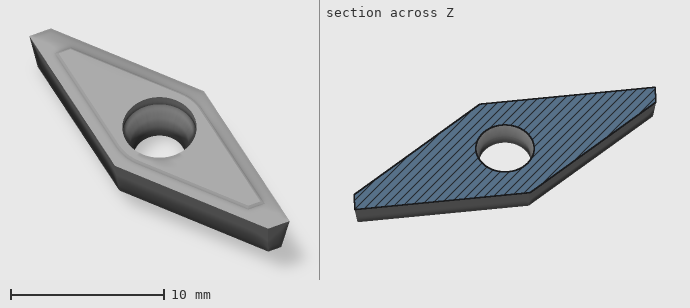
import cadquery as cq
import math

LENGTH = 21.85
HALF_WIDTH = 3.97
POINT_ANGLE = 35.0
TIP_FLAT_END_X = 9.94
HEIGHT = 3.32
PLATEAU_HEIGHT = 0.13
RELIEF_ANGLE = 7.0
CORNER_RADIUS = 0.17

PLATEAU_HALF_WIDTH = 3.19
PLATEAU_TIP_DISTANCE = 8.25
PLATEAU_BEVEL = 0.2

HOLE_DIAMETER = 3.4
SEAT_DIAMETER = 4.85
SEAT_WALL_DEPTH = 0.8
SEAT_CURVE_DEPTH = 1.83

body_height = HEIGHT - PLATEAU_HEIGHT
side_angle = math.radians(POINT_ANGLE)
side_normal = (math.sin(side_angle), math.cos(side_angle))
tip_corner_x = LENGTH / 2
tip_corner_y = (HALF_WIDTH - tip_corner_x * side_normal[0]) / side_normal[1]
tip_flat_angle = math.atan2(tip_corner_y + HALF_WIDTH, tip_corner_x - TIP_FLAT_END_X)
tip_normal = (math.sin(tip_flat_angle), -math.cos(tip_flat_angle))
body_tip_distance = tip_corner_x * tip_normal[0] + tip_corner_y * tip_normal[1]


def line_crossing(normal_a, distance_a, normal_b, distance_b):
    """Point where two lines, given by unit normal and distance from the centre, meet."""
    determinant = normal_a[0] * normal_b[1] - normal_a[1] * normal_b[0]
    x = (distance_a * normal_b[1] - distance_b * normal_a[1]) / determinant
    y = (normal_a[0] * distance_b - normal_b[0] * distance_a) / determinant
    return x, y


def truncated_rhombus(half_width, tip_distance, z):
    """Closed rhombus with flattened points, symmetric under a half turn about Z."""
    straight_normal = (0, 1)
    opposite_normal = (0, -1)
    half_outline = [
        line_crossing(straight_normal, half_width, side_normal, half_width),
        line_crossing(side_normal, half_width, tip_normal, tip_distance),
        line_crossing(tip_normal, tip_distance, opposite_normal, half_width),
    ]
    other_half = [(-x, -y) for x, y in half_outline]
    return cq.Workplane("XY", origin=(0, 0, z)).polyline(half_outline + other_half).close()


def tapered_prism(half_width, tip_distance, inset, z_wide, z_narrow):
    """Prism whose every side leans inward by the same inset."""
    wide = truncated_rhombus(half_width, tip_distance, z_wide).wire().val()
    narrow = truncated_rhombus(half_width - inset, tip_distance - inset, z_narrow).wire().val()
    return cq.Workplane(cq.Solid.makeLoft([wide, narrow], True))


def round_obtuse_corners(prism, half_width, z_middle, radius):
    """Round the two lateral edges where the straight and slanted sides meet."""
    corner_x, corner_y = line_crossing((0, 1), half_width, side_normal, half_width)
    for sign in (1, -1):
        corner = (sign * corner_x, sign * corner_y, z_middle)
        prism = prism.edges(cq.selectors.NearestToPointSelector(corner)).fillet(radius)
    return prism


def make_body():
    inset = body_height * math.tan(math.radians(RELIEF_ANGLE))
    body = tapered_prism(HALF_WIDTH, body_tip_distance, inset, body_height, 0)
    return round_obtuse_corners(body, HALF_WIDTH - inset / 2, body_height / 2, CORNER_RADIUS)


def plateau_arc_bevel():
    """Cone centred on the hole that rounds the plateau's obtuse corners."""
    top_radius = PLATEAU_HALF_WIDTH - PLATEAU_BEVEL
    cone = cq.Solid.makeCone(
        PLATEAU_HALF_WIDTH, top_radius, PLATEAU_HEIGHT, pnt=cq.Vector(0, 0, body_height)
    )
    return cq.Workplane(cone)


def make_plateau():
    """Raised pad; its obtuse corners follow a cone tangent to the sloped sides."""
    pad = tapered_prism(PLATEAU_HALF_WIDTH, PLATEAU_TIP_DISTANCE, PLATEAU_BEVEL, body_height, HEIGHT)
    reach = 2 * PLATEAU_HALF_WIDTH
    for sign in (1, -1):
        wedge = (
            cq.Workplane("XY", origin=(0, 0, body_height))
            .polyline([
                (0, 0),
                (0, sign * reach),
                (sign * reach * side_normal[0], sign * reach * side_normal[1]),
            ])
            .close()
            .extrude(PLATEAU_HEIGHT)
        )
        pad = pad.cut(wedge).union(wedge.intersect(plateau_arc_bevel()))
    return pad


def make_screw_hole():
    """Through hole with a straight-walled recess above a convex seat that blends into the bore."""
    hole_radius = HOLE_DIAMETER / 2
    seat_radius = SEAT_DIAMETER / 2
    curve_top = HEIGHT - SEAT_WALL_DEPTH
    curve_bottom = curve_top - SEAT_CURVE_DEPTH
    radial_step = seat_radius - hole_radius
    arc_radius = (radial_step**2 + SEAT_CURVE_DEPTH**2) / (2 * radial_step)
    arc_half_angle = math.asin(SEAT_CURVE_DEPTH / arc_radius) / 2
    arc_middle = (
        hole_radius + arc_radius * (1 - math.cos(arc_half_angle)),
        curve_bottom + arc_radius * math.sin(arc_half_angle),
    )
    return (
        cq.Workplane("XZ")
        .moveTo(0, 0)
        .lineTo(hole_radius, 0)
        .lineTo(hole_radius, curve_bottom)
        .threePointArc(arc_middle, (seat_radius, curve_top))
        .lineTo(seat_radius, HEIGHT)
        .lineTo(0, HEIGHT)
        .close()
        .revolve(360, (0, 0, 0), (0, 1, 0))
    )


result = make_body().union(make_plateau()).cut(make_screw_hole())